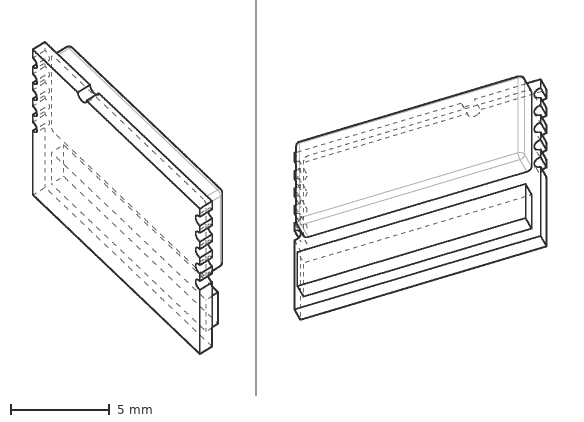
import cadquery as cq

board_width = 13.5
board_height = 11.5
board_thickness = 0.8

notch_radius = 0.35
notches_per_side = 5
notch_pitch = 1.27
first_notch_drop = 1.0
top_notch_x = 4.0

total_depth = 2.0
can_depth = total_depth - board_thickness
can_inset = 0.5
can_width = board_width - 2 * can_inset
can_height = 6.0
can_fillet = 0.25

chip_inset = 0.5
chip_width = board_width - 2 * chip_inset
chip_height = 2.5
chip_bottom = 0.74
chip_depth = 0.8


def block(width, depth, height, x, y, z):
    """Box with its minimum corner at (x, y, z)."""
    return cq.Workplane("XY").box(width, depth, height, centered=False).translate((x, y, z))


def notch_cutter(x, z):
    """Cylinder through the board thickness, centred at (x, z)."""
    return (
        cq.Workplane("XZ", origin=(x, 0, z))
        .circle(notch_radius)
        .extrude(-board_thickness)
    )


board = block(board_width, board_thickness, board_height, 0, 0, 0)
board = board.cut(notch_cutter(top_notch_x, board_height))
for index in range(notches_per_side):
    notch_z = board_height - first_notch_drop - index * notch_pitch
    for edge_x in (0, board_width):
        board = board.cut(notch_cutter(edge_x, notch_z))

can_bottom = board_height - can_inset - can_height
can = block(can_width, can_depth, can_height, can_inset, board_thickness, can_bottom)
can = can.edges("|Y or >Y").fillet(can_fillet)

chip = block(chip_width, chip_depth, chip_height, chip_inset, board_thickness, chip_bottom)

result = board.union(can).union(chip)